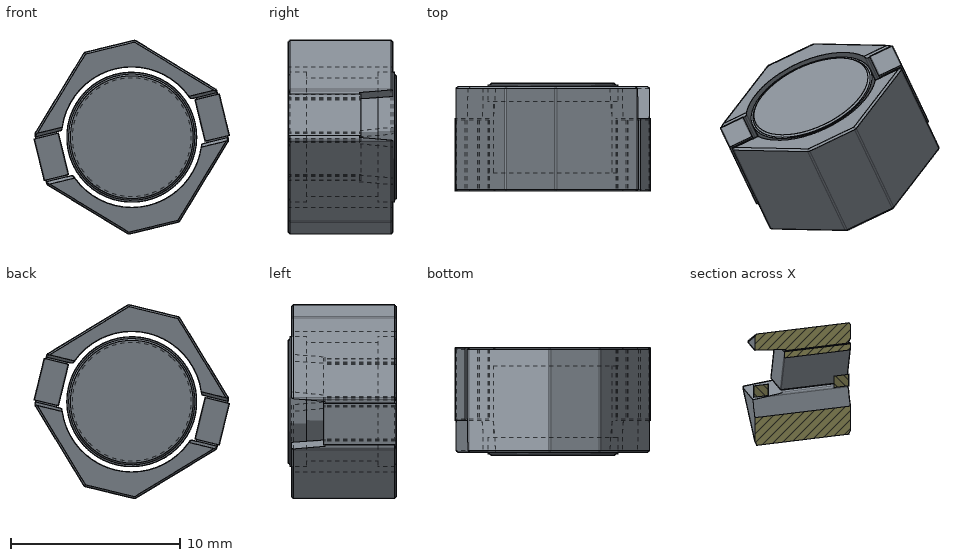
import cadquery as cq
import math

ring_length = 6.2
ring_half_width = 5.54
corner_half_width = 5.01
ring_twist = 13.7
ring_corner_fillet = 0.17
ring_chamfer = 0.12
bore_radius = 4.15

slot_half_width = 1.37
slot_draft = 5.0
slot_lip_fillet = 0.15
recess_flare = 0.19

plating = 0.1
terminal_half_width = 1.26
terminal_length = 4.32
terminal_edge_fillet = 0.05
terminal_outer = ring_half_width + plating
bridge_inner = 4.26
terminal_inner = bridge_inner - plating
bridge_back = terminal_length - plating

boss_height = 0.1
boss_radius = 3.74
flange_radius = 3.85
flange_thickness = 0.97
hub_radius = 3.52
drum_length = 6.4


def ring_blank():
    """Octagonal prism with rounded corners and chamfered ends."""
    corner = math.sqrt(2) * corner_half_width - ring_half_width
    points = []
    for turn in range(4):
        angle = math.radians(90 * turn)
        for side in (-corner, corner):
            points.append((
                ring_half_width * math.cos(angle) - side * math.sin(angle),
                ring_half_width * math.sin(angle) + side * math.cos(angle),
            ))
    blank = cq.Workplane("XZ").polyline(points).close().extrude(-ring_length)
    blank = blank.edges("|Y").fillet(ring_corner_fillet)
    return blank.faces("<Y or >Y").edges().chamfer(ring_chamfer)


def bore_cutter():
    """Round bore joined to the straight gaps inside the bridges, with rounded lips between."""
    bore = cq.Workplane("XZ").circle(bore_radius).extrude(-ring_length)
    gap = cq.Workplane("XZ").rect(2 * bridge_inner, 2 * slot_half_width).extrude(-ring_length)
    inside_bridges = cq.selectors.BoxSelector(
        (-terminal_inner, 0, -bore_radius),
        (terminal_inner, ring_length, bore_radius),
    )
    return bore.union(gap).edges("|Y").edges(inside_bridges).fillet(slot_lip_fillet)


def flared_slot(start, end, start_half_width, end_half_width):
    """Slot across the whole ring whose width changes evenly between two depths."""
    return (
        cq.Workplane("YZ")
        .polyline([
            (start, -start_half_width),
            (end, -end_half_width),
            (end, end_half_width),
            (start, start_half_width),
        ])
        .close()
        .extrude(terminal_outer, both=True)
    )


def terminal(side):
    """Plated terminal block on one side of the ring, side being -1 or 1."""
    depth = terminal_outer - terminal_inner
    return (
        cq.Workplane("XY")
        .box(depth, terminal_length, 2 * terminal_half_width)
        .edges("|Z")
        .fillet(terminal_edge_fillet)
        .translate((side * (terminal_inner + depth / 2), terminal_length / 2, 0))
    )


def shield_ring():
    """Octagonal ring with its slots and the two terminals, as one solid."""
    slot_widening = (ring_length - bridge_back) * math.tan(math.radians(slot_draft))
    back_half_width = slot_half_width + slot_widening
    recess_half_width = slot_half_width + recess_flare
    ring = ring_blank().cut(bore_cutter())
    ring = ring.cut(flared_slot(bridge_back, ring_length, slot_half_width, back_half_width))
    ring = ring.cut(flared_slot(0, plating, recess_half_width, slot_half_width))
    for side in (-1, 1):
        ring = ring.union(terminal(side))
    return ring.rotate((0, 0, 0), (0, -1, 0), ring_twist)


def drum_core():
    """Spool made by revolving a half profile of (radius, y) about Y."""
    back_shoulder = drum_length - boss_height
    inner_front = boss_height + flange_thickness
    inner_back = back_shoulder - flange_thickness
    boss_top_radius = boss_radius - boss_height
    profile = [
        (0, 0),
        (boss_top_radius, 0),
        (boss_radius, boss_height),
        (flange_radius, boss_height),
        (flange_radius, inner_front),
        (hub_radius, inner_front),
        (hub_radius, inner_back),
        (flange_radius, inner_back),
        (flange_radius, back_shoulder),
        (boss_radius, back_shoulder),
        (boss_top_radius, drum_length),
        (0, drum_length),
    ]
    return cq.Workplane("XY").polyline(profile).close().revolve(360, (0, 0, 0), (0, 1, 0))


ring = shield_ring()
drum = drum_core()
result = cq.Compound.makeCompound([ring.solids().val(), drum.val()])